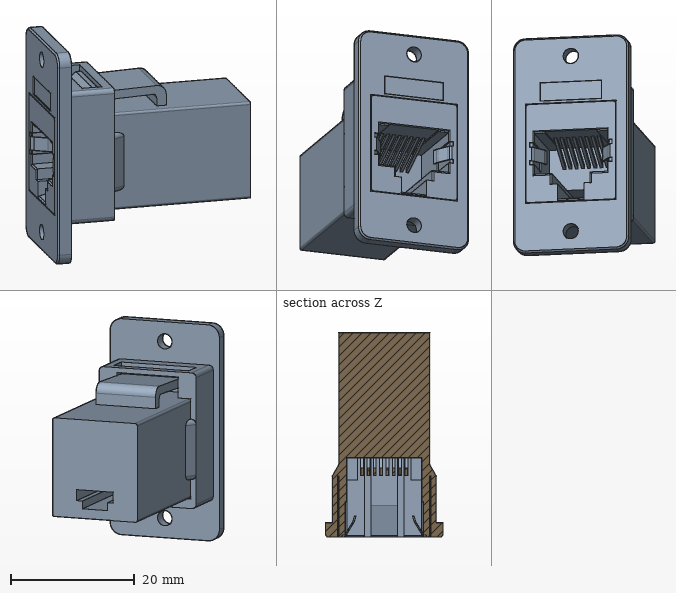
import cadquery as cq


flange_width = 19.0
flange_height = 35.5
flange_thickness = 2.3
flange_corner_radius = 2.0
flange_front_chamfer = 0.3
screw_hole_diameter = 2.5
screw_hole_offset = 14.52

label_width = 10.08
label_bottom = 7.28
label_top = 10.3
label_depth = 0.2

collar_width = 16.85
collar_height = 22.3
collar_back = 9.85
collar_edge_radius = 0.75

body_width = 14.75
body_length = 33.0
body_top = 6.75
body_bottom = -9.48
body_top_radius = 0.4
body_bottom_radius = 0.32
body_gap = 0.125

latch_width = 10.35
latch_leg_back = 19.45
latch_leg_thickness = 1.6
latch_arm_thickness = 1.45
latch_top = 10.22
latch_drop = 0.35
latch_outer_radius = 1.55
latch_inner_radius = 0.7
hook_top = 10.47
hook_back = 8.13
hook_flat_front = 7.25
hook_nose = 5.05
hook_nose_height = 8.52

slot_width = 13.03
slot_front = 4.95
slot_back = 8.25
latch_clearance = 0.1

snap_back = 11.7
snap_bottom = -6.4
snap_top = 3.55
snap_corner_radius = 0.8

port_half_width = 6.05
port_top = 2.2
port_bottom = -4.8
port_depth = 12.78
step_half_width = 3.15
step_bottom = -6.6
tab_half_width = 2.15
tab_floor_back = -7.88
tab_floor_front = -9.1
tab_ramp_length = 4.85
lead_in_depth = 0.2
lead_in_side = 0.15
lead_in_bottom = 0.3
lead_in_step_side = 0.25

corner_width = 1.75
rail_height = 0.25
block_length = 3.55
block_height = 1.05

contact_count = 8
contact_span = 7.15
contact_pitch = contact_span / (contact_count - 1)
contact_width = 0.45
contact_front = 4.97
contact_low = -1.28
contact_thickness = 0.57

spring_bottom = -2.55
spring_top = -0.3
spring_root = 6.5
spring_root_y = 0.5
spring_bend = 4.83
spring_bend_y = 2.5
spring_tip = 4.58
spring_tip_y = 3.37
spring_thickness = 0.25
recess_bottom = -3.2
recess_top = 0.43
recess_mouth = 6.78
recess_inner = 6.3
recess_step_depth = 0.3
recess_back = 5.68

overlap = 0.18


def box(x_min, x_max, y_min, y_max, z_min, z_max):
    """Box between two corners."""
    return cq.Workplane("XY").box(
        x_max - x_min, y_max - y_min, z_max - z_min, centered=False
    ).translate((x_min, y_min, z_min))


def centred_box(width, y_min, y_max, z_min, z_max):
    """Box symmetric about the X = 0 plane."""
    return box(-width / 2, width / 2, y_min, y_max, z_min, z_max)


def side_prism(points, width):
    """(y, z) outline extruded symmetrically along X."""
    half_width = width / 2
    return cq.Workplane("YZ").polyline(points).close().extrude(half_width, both=True)


def plan_prism(points, z_min, z_max):
    """(x, y) outline extruded between two heights."""
    return cq.Workplane("XY").workplane(offset=z_min).polyline(points).close().extrude(z_max - z_min)


def both_sides(shape):
    """Shape together with its mirror image across the X = 0 plane."""
    return shape.union(shape.mirror("YZ"))


def make_flange():
    flange = centred_box(flange_width, 0, flange_thickness, -flange_height / 2, flange_height / 2)
    flange = flange.edges("|Y").fillet(flange_corner_radius)
    flange = flange.faces("<Y").edges().chamfer(flange_front_chamfer)
    for z in (-screw_hole_offset, screw_hole_offset):
        hole = cq.Workplane("XZ").center(0, z).circle(screw_hole_diameter / 2).extrude(-flange_thickness)
        flange = flange.cut(hole)
    return flange.cut(centred_box(label_width, 0, label_depth, label_bottom, label_top))


def make_holder():
    """Flange and collar with the body opening, latch slot and arm passage."""
    collar = centred_box(
        collar_width, flange_thickness, collar_back, -collar_height / 2, collar_height / 2
    ).edges("|Y").fillet(collar_edge_radius)
    opening = centred_box(
        body_width + 2 * body_gap, 0, collar_back, body_bottom - body_gap, body_top + body_gap
    )
    slot = centred_box(slot_width, slot_front, slot_back, body_top, collar_height / 2)
    passage_width = latch_width + 2 * latch_clearance
    passage = centred_box(passage_width, slot_back, collar_back, body_top, latch_top + latch_clearance)
    return make_flange().union(collar).cut(opening).cut(slot).cut(passage)


def make_body():
    body = centred_box(body_width, 0, body_length, body_bottom, body_top)
    body = body.edges("|Y and >Z").fillet(body_top_radius)
    return body.edges("|Y and <Z").fillet(body_bottom_radius)


def make_latch():
    """Leg rising from the body, arm running forward and a hook behind a sloping nose."""
    leg_front = latch_leg_back - latch_leg_thickness
    arm_front_top = latch_top - latch_drop
    arm = side_prism(
        [
            (latch_leg_back, body_top - overlap),
            (latch_leg_back, latch_top),
            (hook_back, arm_front_top),
            (hook_back, arm_front_top - latch_arm_thickness),
            (leg_front, latch_top - latch_arm_thickness),
            (leg_front, body_top - overlap),
        ],
        latch_width,
    )
    corner_reach = latch_leg_thickness / 2
    arm = arm.edges("|X and >Y and >Z").fillet(latch_outer_radius)
    inner_corner = cq.selectors.BoxSelector(
        (-latch_width, leg_front - corner_reach, latch_top - latch_arm_thickness - corner_reach),
        (latch_width, leg_front + corner_reach, latch_top - latch_arm_thickness + corner_reach),
    )
    arm = arm.edges("|X").edges(inner_corner).fillet(latch_inner_radius)
    hook = side_prism(
        [
            (hook_back, hook_top),
            (hook_flat_front, hook_top),
            (hook_nose, hook_nose_height),
            (hook_back, arm_front_top - latch_arm_thickness),
        ],
        latch_width,
    )
    return arm.union(hook)


def make_snaps():
    """Wedges that slope inward to the rear, rounded at the ends of the ramp."""
    inner = body_width / 2
    snap = plan_prism(
        [(inner, collar_back), (collar_width / 2, collar_back), (inner, snap_back)],
        snap_bottom,
        snap_top,
    )
    ramp_ends = snap.faces(cq.selectors.DirectionMinMaxSelector(cq.Vector(1, 1, 0))).edges("not |Z")
    return both_sides(ramp_ends.fillet(snap_corner_radius))


def port_mouth(width, z_min, z_max, side, bottom, top):
    """Tapered lead-in from a larger opening on the front face to the given opening."""
    outer_bottom = z_min - bottom
    outer_top = z_max + top
    return (
        cq.Workplane("XZ")
        .center(0, (outer_bottom + outer_top) / 2)
        .rect(width + 2 * side, outer_top - outer_bottom)
        .workplane(offset=-lead_in_depth)
        .center(0, (z_min + z_max - outer_bottom - outer_top) / 2)
        .rect(width, z_max - z_min)
        .loft()
    )


def make_port():
    """Space removed from the body for the plug."""
    port_width = 2 * port_half_width
    step_width = 2 * step_half_width
    tab_width = 2 * tab_half_width
    cavity = centred_box(port_width, 0, port_depth, port_bottom, port_top)
    cavity = cavity.union(
        port_mouth(port_width, port_bottom, port_top, lead_in_side, lead_in_bottom, lead_in_side)
    )
    step = centred_box(step_width, 0, body_length, step_bottom, port_bottom)
    step = step.union(port_mouth(step_width, step_bottom, port_bottom, lead_in_step_side, 0, 0))
    tab_slot = side_prism(
        [
            (0, step_bottom),
            (0, tab_floor_front - lead_in_bottom),
            (lead_in_depth, tab_floor_front),
            (lead_in_depth + tab_ramp_length, tab_floor_back),
            (body_length, tab_floor_back),
            (body_length, step_bottom),
        ],
        tab_width,
    )
    return cavity.union(step).union(tab_slot)


def make_spring_recesses():
    recess = plan_prism(
        [
            (port_half_width - overlap, 0),
            (recess_mouth, 0),
            (recess_mouth, recess_step_depth),
            (recess_inner, recess_step_depth),
            (recess_inner, recess_back),
            (port_half_width - overlap, recess_back),
        ],
        recess_bottom,
        recess_top,
    )
    return both_sides(recess)


def make_springs():
    spring = plan_prism(
        [
            (recess_mouth, 0),
            (spring_root, 0),
            (port_half_width, spring_root_y),
            (spring_bend, spring_bend_y),
            (spring_tip, spring_tip_y),
            (spring_tip + spring_thickness, spring_tip_y),
            (spring_bend + spring_thickness, spring_bend_y),
            (recess_inner, spring_root_y),
            (recess_mouth, spring_root_y),
        ],
        spring_bottom,
        spring_top,
    )
    return both_sides(spring)


def make_corner_rails():
    """Rails under the roof corners, starting behind the lead-in."""
    rail = box(
        port_half_width - corner_width,
        port_half_width + overlap,
        lead_in_depth,
        port_depth + overlap,
        port_top - rail_height,
        port_top + overlap,
    )
    return both_sides(rail)


def make_corner_blocks():
    """Blocks in the floor corners at the inner end of the port."""
    block = box(
        port_half_width - corner_width,
        port_half_width + overlap,
        port_depth - block_length,
        port_depth + overlap,
        port_bottom - overlap,
        port_bottom + block_height,
    )
    return both_sides(block)


def make_contact():
    outline = [
        (contact_front, port_top),
        (port_depth, contact_low),
        (port_depth, contact_low + contact_thickness),
        (contact_front, port_top + contact_thickness),
    ]
    return side_prism(outline, contact_width)


def make_jack():
    jack = make_body().cut(make_port()).cut(make_spring_recesses())
    jack = jack.union(make_springs()).union(make_corner_rails()).union(make_corner_blocks())
    for index in range(contact_count):
        x = index * contact_pitch - contact_span / 2
        jack = jack.union(make_contact().translate((x, 0, 0)))
    return jack.union(make_latch()).union(make_snaps())


result = make_holder().union(make_jack())